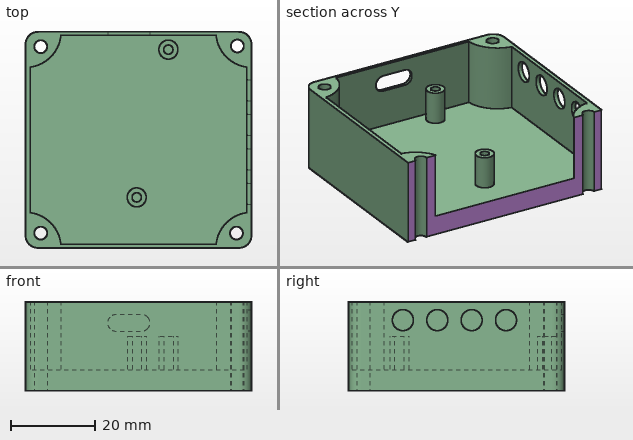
import cadquery as cq

length = 53.6
width = 51.25
height = 21.1
corner_radius = 3.0

end_wall = 1.1
side_wall = 0.85
floor_thickness = 5.0
inner_length = length - 2 * end_wall
inner_width = width - 2 * side_wall
cavity_depth = height - floor_thickness

post_radius = 8.45
screw_hole_diameter = 3.0
screw_hole_centers = [(-23.15, 22.1), (23.4, 22.25), (-23.15, -22.1), (23.2, -22.1)]

standoff_diameter = 4.5
standoff_bore = 2.2
standoff_height = 8.0
standoff_centers = [(7.1, 21.4), (-0.45, -13.6)]

port_diameter = 5.0
port_count = 4
port_pitch = 8.15
port_row_center_y = -0.5
port_z = 16.8

slot_length = 9.95
slot_height = 4.0
slot_center_x = -2.35
slot_z = 16.2


def make_body():
    """Solid block with rounded vertical edges."""
    block = cq.Workplane("XY").box(length, width, height, centered=(True, True, False))
    return block.edges("|Z").fillet(corner_radius)


def make_cavity():
    """Open-topped interior, with the four corner posts left standing."""
    floor = cq.Workplane("XY").workplane(offset=floor_thickness)
    cavity = floor.rect(inner_length, inner_width).extrude(cavity_depth)
    posts = floor.rect(length, width, forConstruction=True).vertices().circle(post_radius).extrude(cavity_depth)
    return cavity.cut(posts)


def make_standoffs():
    """Tubular standoffs whose bores stop at the floor."""
    floor = cq.Workplane("XY").workplane(offset=floor_thickness)
    pins = floor.pushPoints(standoff_centers).circle(standoff_diameter / 2).extrude(standoff_height)
    bores = floor.pushPoints(standoff_centers).circle(standoff_bore / 2).extrude(standoff_height)
    return pins.cut(bores)


def make_screw_holes():
    """Holes through the full height of the corner posts."""
    return cq.Workplane("XY").pushPoints(screw_hole_centers).circle(screw_hole_diameter / 2).extrude(height)


def make_ports():
    """Evenly spaced round cutters spanning the +X wall."""
    row_start = port_row_center_y - port_pitch * (port_count - 1) / 2
    centers = [(row_start + i * port_pitch, port_z) for i in range(port_count)]
    wall = cq.Workplane("YZ").workplane(offset=inner_length / 2)
    return wall.pushPoints(centers).circle(port_diameter / 2).extrude(end_wall)


def make_slot():
    """Horizontal slot cutter spanning the +Y wall."""
    wall = cq.Workplane("XZ").workplane(offset=-width / 2)
    return wall.center(slot_center_x, slot_z).slot2D(slot_length, slot_height).extrude(side_wall)


result = (
    make_body()
    .cut(make_cavity())
    .union(make_standoffs())
    .cut(make_screw_holes())
    .cut(make_ports())
    .cut(make_slot())
)